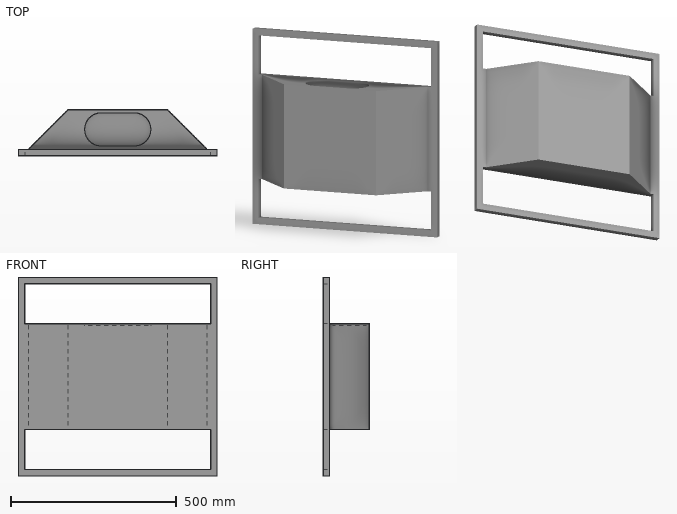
import cadquery as cq

frame_side = 600.0
frame_depth = 20.0
rim_width = 20.0
window_height = 120.0
window_width = frame_side - 2 * rim_width
panel_height = frame_side - 2 * (rim_width + window_height)

total_depth = 140.0
housing_depth = total_depth - frame_depth
housing_back_width = 300.0
housing_front_width = housing_back_width + 2 * housing_depth

recess_length = 200.0
recess_width = 100.0
recess_depth = 6.0


def make_frame():
    """Square plate with one window above and one below the central panel."""
    plate = cq.Workplane("XY").box(frame_side, frame_depth, frame_side, centered=(True, False, True))
    window_offset = (panel_height + window_height) / 2
    for side in (-1, 1):
        window = (
            cq.Workplane("XY")
            .box(window_width, frame_depth, window_height, centered=(True, False, True))
            .translate((0, 0, side * window_offset))
        )
        plate = plate.cut(window)
    return plate


def make_housing():
    """Trapezoidal block, narrowing towards the back."""
    return (
        cq.Workplane("XY", origin=(0, 0, -panel_height / 2))
        .polyline([
            (-housing_front_width / 2, frame_depth),
            (housing_front_width / 2, frame_depth),
            (housing_back_width / 2, total_depth),
            (-housing_back_width / 2, total_depth),
        ])
        .close()
        .extrude(panel_height)
    )


def make_recess():
    """Rounded slot, cut down from the top face midway along the housing depth."""
    recess_y = frame_depth + housing_depth / 2
    return (
        cq.Workplane("XY", origin=(0, recess_y, panel_height / 2))
        .slot2D(recess_length, recess_width)
        .extrude(-recess_depth)
    )


result = make_frame().union(make_housing()).cut(make_recess())